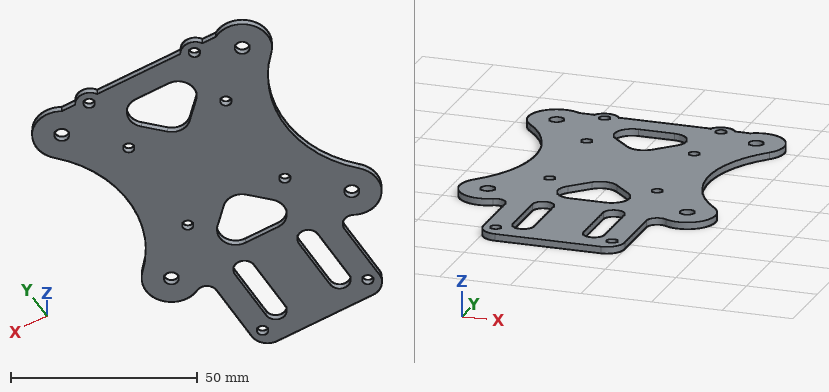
import cadquery as cq
import math

thickness = 2.0
lug_offset = 28.3
lug_diameter = 16.0
lug_radius = lug_diameter / 2
lug_hole_diameter = 4.0
small_hole_diameter = 3.0
board_hole_offset = 15.2
top_edge_y = 35.1

ear_hole_x = 16.5
ear_hole_y = 33.6
ear_radius = 4.0
ear_center_y = 33.1

tail_half_width = 20.0
tail_bottom_y = -61.0
tail_corner_radius = 5.0
tail_root_radius = 3.0
tail_hole_y = -55.9

slot_x = 10.0
slot_center_y = -44.0
slot_length = 22.1
slot_width = 6.0

window_base_y = lug_offset
window_radius = 5.0
window_center_half_span = 5.1

def mirrored(points):
    """Each point together with its mirror image across the YZ plane."""
    return [(side * x, y) for x, y in points for side in (1, -1)]

def outline():
    """Plate outline: right half drawn from the top edge down, then mirrored."""
    diagonal = lug_radius / math.sqrt(2)

    waist_radius = lug_offset * math.sqrt(2) - lug_radius
    waist_x = 2 * lug_offset - waist_radius
    waist_end = (lug_offset + diagonal, lug_offset - diagonal)

    top_join_x = lug_offset - math.sqrt(lug_radius**2 - (top_edge_y - lug_offset) ** 2)

    root_x = tail_half_width + tail_root_radius
    center_distance = lug_radius + tail_root_radius
    root_y = -lug_offset - math.sqrt(center_distance**2 - (lug_offset - root_x) ** 2)
    lug_share = lug_radius / center_distance
    root_start = (
        lug_offset + (root_x - lug_offset) * lug_share,
        -lug_offset + (root_y + lug_offset) * lug_share,
    )
    root_bend = tail_root_radius / math.sqrt(2)
    corner_inset = tail_corner_radius * (1 - math.sqrt(0.5))

    return (
        cq.Workplane("XY")
        .moveTo(0, top_edge_y)
        .lineTo(top_join_x, top_edge_y)
        .threePointArc((lug_offset + diagonal, lug_offset + diagonal), waist_end)
        .threePointArc((waist_x, 0), (waist_end[0], -waist_end[1]))
        .threePointArc((lug_offset + diagonal, -lug_offset - diagonal), root_start)
        .threePointArc((root_x - root_bend, root_y + root_bend), (tail_half_width, root_y))
        .lineTo(tail_half_width, tail_bottom_y + tail_corner_radius)
        .threePointArc(
            (tail_half_width - corner_inset, tail_bottom_y + corner_inset),
            (tail_half_width - tail_corner_radius, tail_bottom_y),
        )
        .lineTo(0, tail_bottom_y)
        .mirrorY()
    )

def window():
    """Upper window, pointing towards the middle of the plate."""
    center_y = window_base_y - window_radius
    return (
        cq.Workplane("XY")
        .polyline([
            (-window_center_half_span, center_y),
            (window_center_half_span, center_y),
            (0, center_y - window_center_half_span),
        ])
        .close()
        .offset2D(window_radius)
        .extrude(thickness)
    )

def cylinders(points, diameter):
    return cq.Workplane("XY").pushPoints(points).circle(diameter / 2).extrude(thickness)

plate = outline().extrude(thickness)
plate = plate.union(cylinders(mirrored([(ear_hole_x, ear_center_y)]), 2 * ear_radius))

lug_points = mirrored([(lug_offset, lug_offset), (lug_offset, -lug_offset)])
small_points = mirrored([
    (ear_hole_x, ear_hole_y),
    (board_hole_offset, board_hole_offset),
    (board_hole_offset, -board_hole_offset),
    (ear_hole_x, tail_hole_y),
])
plate = plate.cut(cylinders(lug_points, lug_hole_diameter))
plate = plate.cut(cylinders(small_points, small_hole_diameter))

plate = plate.cut(window()).cut(window().mirror("XZ"))
slots = (
    cq.Workplane("XY")
    .pushPoints(mirrored([(slot_x, slot_center_y)]))
    .slot2D(slot_length, slot_width, 90)
    .extrude(thickness)
)
result = plate.cut(slots)